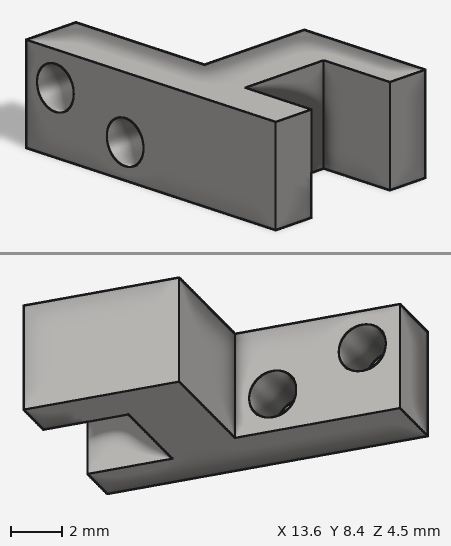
import cadquery as cq

length = 13.6
depth = 8.4
height = 4.5

arm_length = 7.0
arm_thickness = 2.8

prong_thickness = 2.0
slot_length = 3.6
slot_width = depth - 2 * prong_thickness

hole_diameter = 2.0
hole_edge_distance = 1.6
hole_centers = [
    (hole_edge_distance, height - hole_edge_distance),
    (arm_length - hole_edge_distance, hole_edge_distance),
]


def box_at(x, y, size_x, size_y):
    """Full-height box with its lowest corner at (x, y, 0)."""
    return cq.Workplane("XY").box(size_x, size_y, height, centered=False).translate((x, y, 0))


def make_body():
    """L-shaped block: the arm and the fork block behind its right end."""
    front_bar = box_at(0, 0, length, arm_thickness)
    fork_block = box_at(arm_length, 0, length - arm_length, depth)
    return front_bar.union(fork_block)


def make_slot():
    """Fork slot, open at the +X end."""
    return box_at(length - slot_length, prong_thickness, slot_length, slot_width)


def make_holes():
    """Round cutters running along Y through the arm."""
    return (
        cq.Workplane("XZ")
        .pushPoints(hole_centers)
        .circle(hole_diameter / 2)
        .extrude(-arm_thickness)
    )


result = make_body().cut(make_slot()).cut(make_holes())